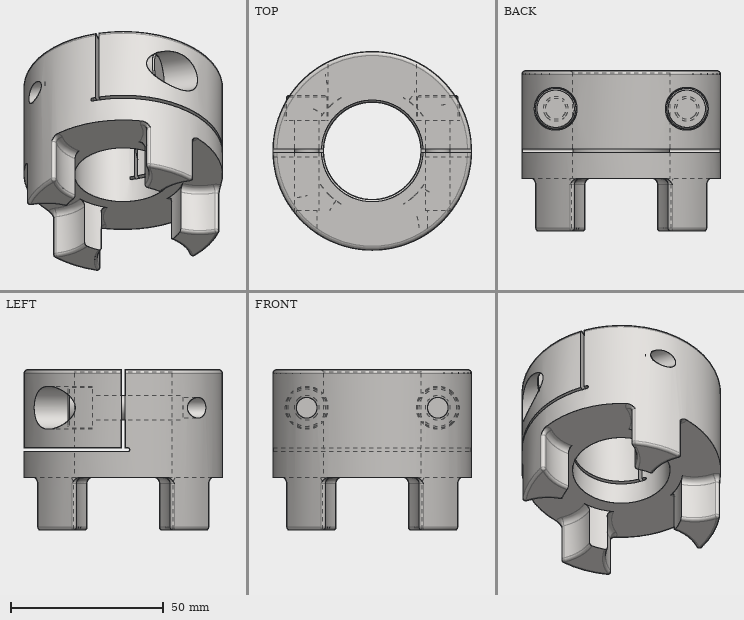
import cadquery as cq
import math

HUB_RADIUS = 32.5
HEIGHT = 52.5
JAW_LENGTH = 17.2
TOP_EDGE_RADIUS = 1.3
BORE_RADIUS = 15.9
BORE_CHAMFER = 0.7

GAP_COUNT = 4
GAP_RADIUS = 15.35
GAP_CENTRE = 26.0
JAW_RING_INNER_RADIUS = 20.15
JAW_ROOT_RADIUS = 2.0
JAW_EDGE_RADIUS = 1.0
JAW_TIP_RADIUS = 1.0

SLIT_WIDTH = 1.2
FLOOR_SLIT_CENTRE_Z = HEIGHT - 26.2
FLOOR_SLIT_END_Y = -2.1

SCREW_OFFSET = 21.45
SCREW_POSITIONS = (-SCREW_OFFSET, SCREW_OFFSET)
SCREW_Z = HEIGHT - 12.5
SHANK_RADIUS = 4.0
TAP_HOLE_RADIUS = 3.4
HEAD_RADIUS = 6.6
HEAD_CHAMFER = 0.5
COUNTERBORE_RADIUS = 7.0
HEAD_TOP_Y = 18.1
HEAD_HEIGHT = 2 * SHANK_RADIUS
HEAD_SEAT_Y = HEAD_TOP_Y - HEAD_HEIGHT
SCREW_TIP_Y = -19.5

CLEAR = 2 * HUB_RADIUS
FLARE_LENGTH = HUB_RADIUS / 2

TOLERANCE = 0.005


def rod_along_y(x, radius, start_y, end_y):
    """Round rod at screw height from start_y up to end_y."""
    plane = cq.Plane(origin=(x, start_y, SCREW_Z), xDir=(1, 0, 0), normal=(0, 1, 0))
    return cq.Workplane(plane).circle(radius).extrude(end_y - start_y)


def make_gap():
    """Cutter for the +X gap: round inside, flared by the jaw edge radius to meet the outer surface."""
    to_axis = HUB_RADIUS - JAW_EDGE_RADIUS
    to_gap = GAP_RADIUS + JAW_EDGE_RADIUS
    round_x = (to_axis**2 - to_gap**2 + GAP_CENTRE**2) / (2 * GAP_CENTRE)
    round_y = math.sqrt(to_axis**2 - round_x**2)
    gap_angle = math.atan2(round_y, round_x - GAP_CENTRE)
    outer_angle = math.atan2(round_y, round_x)

    inner_end = (
        GAP_CENTRE + GAP_RADIUS * math.cos(gap_angle),
        GAP_RADIUS * math.sin(gap_angle),
    )
    outer_end = (HUB_RADIUS * math.cos(outer_angle), HUB_RADIUS * math.sin(outer_angle))
    middle_angle = (gap_angle - math.pi + outer_angle) / 2
    round_middle = (
        round_x + JAW_EDGE_RADIUS * math.cos(middle_angle),
        round_y + JAW_EDGE_RADIUS * math.sin(middle_angle),
    )
    flare_end = (
        outer_end[0] - FLARE_LENGTH * math.sin(outer_angle),
        outer_end[1] + FLARE_LENGTH * math.cos(outer_angle),
    )

    def mirrored(point):
        return (point[0], -point[1])

    return (
        cq.Workplane("XY", origin=(0, 0, -JAW_LENGTH))
        .moveTo(*flare_end)
        .lineTo(*outer_end)
        .threePointArc(round_middle, inner_end)
        .threePointArc((GAP_CENTRE - GAP_RADIUS, 0), mirrored(inner_end))
        .threePointArc(mirrored(round_middle), mirrored(outer_end))
        .lineTo(*mirrored(flare_end))
        .lineTo(CLEAR, -flare_end[1])
        .lineTo(CLEAR, flare_end[1])
        .close()
        .extrude(2 * JAW_LENGTH)
        .faces(">Z")
        .edges()
        .fillet(JAW_ROOT_RADIUS)
    )


def on_inner_ring(edge):
    """True for an edge that lies on the inner face of the jaw ring."""
    middle = edge.positionAt(0.5)
    return abs(math.hypot(middle.x, middle.y) - JAW_RING_INNER_RADIUS) < TOLERANCE


def make_jaws():
    """Four jaws with rounded tips, left between the gaps of a ring."""
    jaws = cq.Workplane("XY").circle(HUB_RADIUS).circle(JAW_RING_INNER_RADIUS).extrude(JAW_LENGTH)
    gap = make_gap()
    for i in range(GAP_COUNT):
        jaws = jaws.cut(gap.rotate((0, 0, 0), (0, 0, 1), 360 * i / GAP_COUNT))
    rounded_edges = [edge for edge in jaws.faces("<Z").edges().vals() if not on_inner_ring(edge)]
    return jaws.newObject(rounded_edges).fillet(JAW_TIP_RADIUS)


def make_blank():
    """Hub and clamp shell before they are parted: bored body with its jaws."""
    body = (
        cq.Workplane("XY", origin=(0, 0, JAW_LENGTH))
        .circle(HUB_RADIUS)
        .extrude(HEIGHT - JAW_LENGTH)
        .faces(">Z")
        .edges()
        .fillet(TOP_EDGE_RADIUS)
    )
    bore = cq.Workplane("XY").circle(BORE_RADIUS).extrude(HEIGHT)
    body = body.cut(bore)
    bore_rim = body.faces(">Z").edges(cq.selectors.RadiusNthSelector(0))
    body = bore_rim.chamfer(BORE_CHAMFER)
    return body.union(make_jaws())


def make_shell_zone():
    """Half space above the floor slit and behind the upright slit."""
    zone_bottom = FLOOR_SLIT_CENTRE_Z + SLIT_WIDTH / 2
    return cq.Workplane("XY", origin=(0, SLIT_WIDTH / 2, zone_bottom)).box(
        2 * CLEAR, CLEAR, CLEAR, centered=(True, False, False)
    )


def make_slits():
    """Upright slit across the diameter and the floor slit with its round end."""
    upright = cq.Workplane("XY", origin=(0, 0, FLOOR_SLIT_CENTRE_Z)).box(
        2 * CLEAR, SLIT_WIDTH, CLEAR, centered=(True, True, False)
    )
    end_centre_y = FLOOR_SLIT_END_Y + SLIT_WIDTH / 2
    floor = cq.Workplane("XY", origin=(0, end_centre_y, FLOOR_SLIT_CENTRE_Z)).box(
        2 * CLEAR, CLEAR, SLIT_WIDTH, centered=(True, False, True)
    )
    round_end = (
        cq.Workplane("YZ", origin=(-CLEAR, end_centre_y, FLOOR_SLIT_CENTRE_Z))
        .circle(SLIT_WIDTH / 2)
        .extrude(2 * CLEAR)
    )
    return upright.union(floor).union(round_end)


def make_hub(blank):
    """Jaw half: a seat for each screw, opening to the outside through a tap hole."""
    hub = blank.cut(make_slits()).cut(make_shell_zone())
    for x in SCREW_POSITIONS:
        hub = hub.cut(rod_along_y(x, SHANK_RADIUS, SCREW_TIP_Y, 0))
        hub = hub.cut(rod_along_y(x, TAP_HOLE_RADIUS, -HUB_RADIUS, SCREW_TIP_Y))
    return hub


def make_clamp_shell(blank):
    """Loose half ring with a counterbored hole for each screw."""
    shell = blank.intersect(make_shell_zone())
    for x in SCREW_POSITIONS:
        shell = shell.cut(rod_along_y(x, SHANK_RADIUS, 0, HEAD_SEAT_Y))
        shell = shell.cut(rod_along_y(x, COUNTERBORE_RADIUS, HEAD_SEAT_Y, HUB_RADIUS))
    return shell


def make_screw(x):
    """Cap screw with a chamfered head."""
    shank = rod_along_y(x, SHANK_RADIUS, SCREW_TIP_Y, HEAD_SEAT_Y)
    head = rod_along_y(x, HEAD_RADIUS, HEAD_SEAT_Y, HEAD_TOP_Y)
    head = head.faces(">Y").edges().chamfer(HEAD_CHAMFER)
    return shank.union(head)


blank = make_blank()
hub = make_hub(blank).solids()
clamp_shell = make_clamp_shell(blank).solids()
screws = [make_screw(x).solids() for x in SCREW_POSITIONS]

result = cq.Compound.makeCompound(
    [hub.val(), clamp_shell.val(), *[screw.val() for screw in screws]]
)